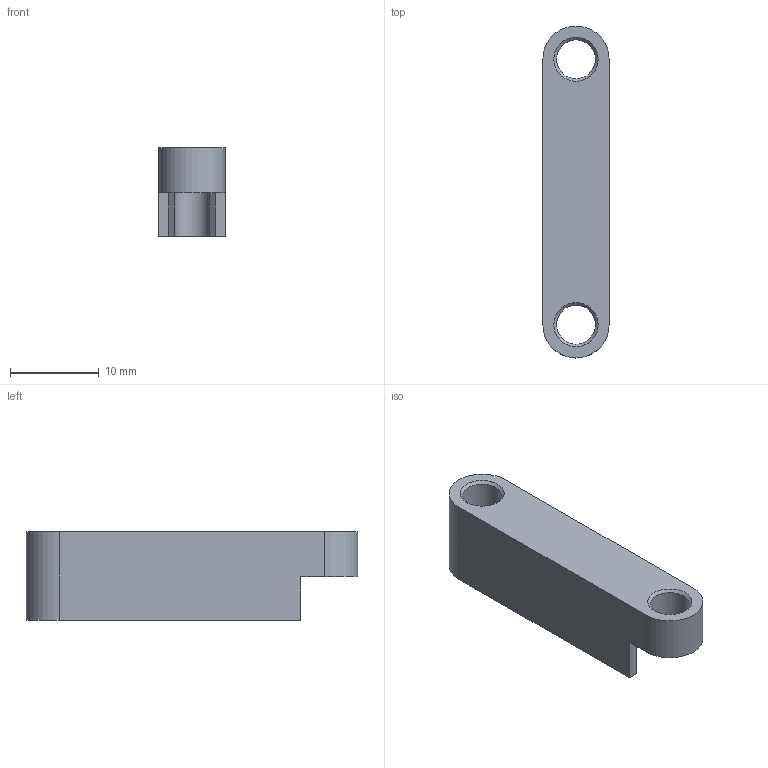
import cadquery as cq
import math

width = 7.5
height = 10.0
hole_spacing = 30.0
end_radius = width / 2
hole_y = hole_spacing / 2

hole_diameter = 4.4
chamfer_size = 0.3
chamfer_angle = 45.0

step_height = 4.9
step_wall_y = -12.29

slot_taper_angle = 3.0
slot_end_radius = 2.0
slot_end_y = -0.5


def link_body():
    """Round-ended bar standing on the XY plane."""
    return cq.Workplane("XY").slot2D(hole_spacing + width, width, 90).extrude(height)


def step_cut():
    """Block below the -Y end, ahead of the step wall."""
    length = step_wall_y + hole_y + end_radius
    return (
        cq.Workplane("XY")
        .center(0, step_wall_y - length / 2)
        .rect(width, length)
        .extrude(step_height)
    )


def slot_cut():
    """Slot that narrows inward from the step wall and ends in a tangent arc."""
    taper = math.radians(slot_taper_angle)
    tangent_x = slot_end_radius * math.cos(taper)
    tangent_y = slot_end_y + slot_end_radius * math.sin(taper)
    mouth = tangent_x + (tangent_y - step_wall_y) * math.tan(taper)
    return (
        cq.Workplane("XY")
        .moveTo(-mouth, step_wall_y)
        .lineTo(mouth, step_wall_y)
        .lineTo(tangent_x, tangent_y)
        .threePointArc((0, slot_end_y + slot_end_radius), (-tangent_x, tangent_y))
        .close()
        .extrude(step_height)
    )


def pin_hole(y):
    """Through hole with a chamfered top rim."""
    radius = hole_diameter / 2
    hole = cq.Workplane("XY").center(0, y).circle(radius).extrude(height)
    rim = (
        cq.Workplane("XY", origin=(0, y, height))
        .circle(radius + chamfer_size)
        .extrude(-chamfer_size, taper=chamfer_angle)
    )
    return hole.union(rim)


result = link_body().cut(step_cut()).cut(slot_cut())
for y in (-hole_y, hole_y):
    result = result.cut(pin_hole(y))